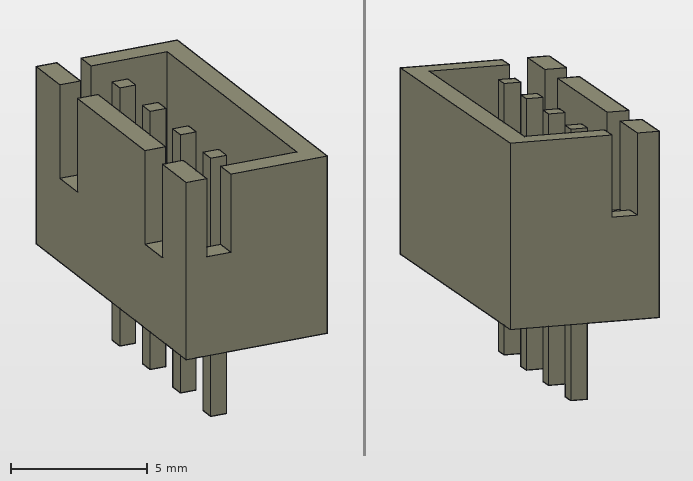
import cadquery as cq

housing_length = 12.4
housing_depth = 5.75
total_height = 10.4
pin_tail_length = 3.4
housing_height = total_height - pin_tail_length

side_wall = 0.84
front_wall = 0.84
back_wall = 0.83
floor_thickness = 2.3

pin_count = 4
pin_pitch = 2.5
pin_width = 0.65
pin_front_offset = 2.37
pin_top_gap = 0.2

front_slot_width = 1.45
front_slot_depth = 3.7
front_slot_end_offset = 1.96
side_slot_width = 0.98
side_slot_depth = 3.09

front_y = -housing_depth / 2
inner_front_y = front_y + front_wall


def box_between(x_range, y_range, z_range):
    """Axis-aligned box filling the given coordinate ranges."""
    (x0, x1), (y0, y1), (z0, z1) = x_range, y_range, z_range
    return cq.Workplane("XY").box(x1 - x0, y1 - y0, z1 - z0, centered=False).translate((x0, y0, z0))


def make_housing():
    """Open-topped rectangular shroud."""
    half_length = housing_length / 2
    half_cavity = half_length - side_wall
    shell = box_between((-half_length, half_length), (front_y, -front_y), (0, housing_height))
    cavity = box_between(
        (-half_cavity, half_cavity),
        (inner_front_y, -front_y - back_wall),
        (floor_thickness, housing_height),
    )
    return shell.cut(cavity)


def make_front_slots():
    """Two mirrored slots through the front wall."""
    outer_x = -housing_length / 2 + front_slot_end_offset
    slot = box_between(
        (outer_x, outer_x + front_slot_width),
        (front_y, inner_front_y),
        (housing_height - front_slot_depth, housing_height),
    )
    return slot.union(slot.mirror("YZ"))


def make_side_slots():
    """One slot through each end wall, right behind the front wall."""
    outer_x = -housing_length / 2
    slot = box_between(
        (outer_x, outer_x + side_wall),
        (inner_front_y, inner_front_y + side_slot_width),
        (housing_height - side_slot_depth, housing_height),
    )
    return slot.union(slot.mirror("YZ"))


def make_pins():
    """Row of square pins passing through the floor."""
    pin_length = total_height - pin_top_gap
    return (
        cq.Workplane("XY")
        .workplane(offset=-pin_tail_length)
        .center(0, front_y + pin_front_offset)
        .rarray(pin_pitch, 0.12, pin_count, 1)
        .rect(pin_width, pin_width)
        .extrude(pin_length)
    )


result = make_housing().cut(make_front_slots()).cut(make_side_slots()).union(make_pins())